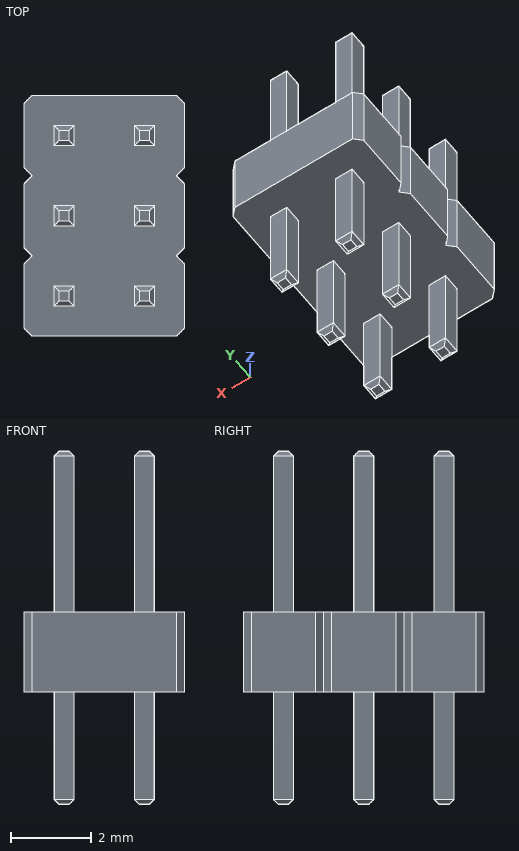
import cadquery as cq

columns = 2
rows = 3
body_width = 4.0
body_length = 6.0
body_height = 2.0
corner_cut = 0.2

total_height = 8.8
tail_length = 2.8
pin_side = 0.5
pin_tip_chamfer = 0.12

column_pitch = body_width / columns
row_pitch = body_length / rows


def make_cell_row(y_center):
    """One row of the body; its cut corners form V-notches against the next row."""
    return (
        cq.Workplane("XY")
        .center(0, y_center)
        .rect(body_width, row_pitch)
        .extrude(body_height)
        .edges("|Z")
        .chamfer(corner_cut)
    )


def make_pin(x, y):
    """One square pin running through the body, chamfered at both tips."""
    return (
        cq.Workplane("XY")
        .workplane(offset=-tail_length)
        .center(x, y)
        .rect(pin_side, pin_side)
        .extrude(total_height)
        .faces("<Z or >Z")
        .chamfer(pin_tip_chamfer)
    )


column_places = [(i - (columns - 1) / 2) * column_pitch for i in range(columns)]
row_places = [(j - (rows - 1) / 2) * row_pitch for j in range(rows)]

body = make_cell_row(row_places[0])
for y in row_places[1:]:
    body = body.union(make_cell_row(y))
body = body.clean()

result = body
for x in column_places:
    for y in row_places:
        result = result.union(make_pin(x, y))